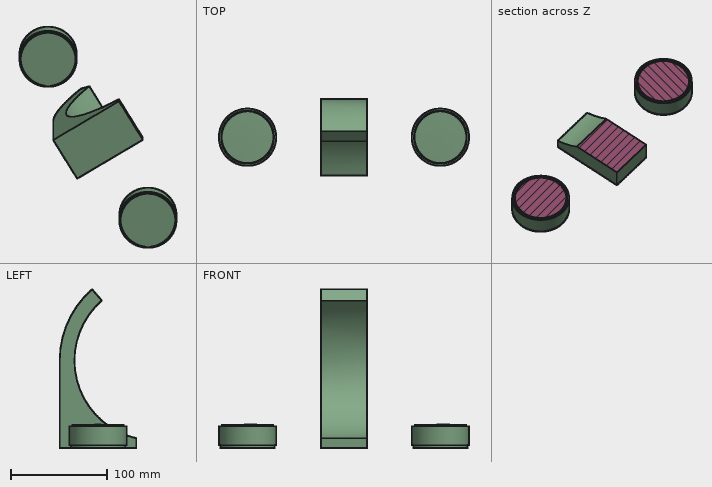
import cadquery as cq
import math

BRACKET_WIDTH = 48.1
BRACKET_DEPTH = 80.0
BRACKET_HEIGHT = 165.2
INNER_RADIUS = 82.7
ARM_THICKNESS = 15.5
ARC_CENTER_Z = 91.0

OVERALL_LENGTH = 260.2
HOUSING_RADIUS = 30.0
HOUSING_TOP_Z = 23.0
PAD_RADIUS = 28.4
PAD_HEIGHT = 3.0
CAP_RADIUS = 26.8
CAP_CLEARANCE = 0.8
CAP_RECESS_DEPTH = 3.0
CAP_PROTRUSION = 1.3
CAP_DOME_RISE = 0.5

FOOT_OFFSET = OVERALL_LENGTH / 2 - HOUSING_RADIUS
RECESS_FLOOR_Z = HOUSING_TOP_Z - CAP_RECESS_DEPTH
CAP_EDGE_Z = HOUSING_TOP_Z + CAP_PROTRUSION


def make_bracket():
    """Extrude a concave arm with a flat back, a flat base and a radially cut tip."""
    back_y = BRACKET_DEPTH / 2
    toe_y = -BRACKET_DEPTH / 2
    outer_radius = INNER_RADIUS + ARM_THICKNESS
    arc_center_y = back_y - outer_radius
    tip_angle = math.asin((BRACKET_HEIGHT - ARC_CENTER_Z) / outer_radius)
    toe_angle = -math.acos((toe_y - arc_center_y) / INNER_RADIUS)

    def arc_point(radius, angle):
        return (
            arc_center_y + radius * math.cos(angle),
            ARC_CENTER_Z + radius * math.sin(angle),
        )

    toe_top = arc_point(INNER_RADIUS, toe_angle)
    inner_middle = arc_point(INNER_RADIUS, (tip_angle + toe_angle) / 2)
    return (
        cq.Workplane("YZ")
        .moveTo(toe_y, 0)
        .lineTo(back_y, 0)
        .lineTo(back_y, ARC_CENTER_Z)
        .threePointArc(arc_point(outer_radius, tip_angle / 2), arc_point(outer_radius, tip_angle))
        .lineTo(*arc_point(INNER_RADIUS, tip_angle))
        .threePointArc(inner_middle, toe_top)
        .close()
        .extrude(BRACKET_WIDTH / 2, both=True)
    )


def make_pad(x):
    """Flat disc under the housing."""
    return cq.Workplane("XY").center(x, 0).circle(PAD_RADIUS).extrude(PAD_HEIGHT)


def make_housing(x):
    """Cylinder with a shallow recess in its top for the cap."""
    body = (
        cq.Workplane("XY", origin=(x, 0, PAD_HEIGHT))
        .circle(HOUSING_RADIUS)
        .extrude(HOUSING_TOP_Z - PAD_HEIGHT)
    )
    recess = (
        cq.Workplane("XY", origin=(x, 0, RECESS_FLOOR_Z))
        .circle(CAP_RADIUS + CAP_CLEARANCE)
        .extrude(CAP_RECESS_DEPTH)
    )
    return body.cut(recess)


def make_cap(x):
    """Disc with a slightly domed top, resting on the recess floor."""
    dome_radius = (CAP_RADIUS**2 + CAP_DOME_RISE**2) / (2 * CAP_DOME_RISE)
    half_way = CAP_RADIUS / 2
    apex_z = CAP_EDGE_Z + CAP_DOME_RISE
    half_way_z = apex_z - dome_radius + math.sqrt(dome_radius**2 - half_way**2)
    return (
        cq.Workplane("XZ", origin=(x, 0, 0))
        .moveTo(0, RECESS_FLOOR_Z)
        .lineTo(CAP_RADIUS, RECESS_FLOOR_Z)
        .lineTo(CAP_RADIUS, CAP_EDGE_Z)
        .threePointArc((half_way, half_way_z), (0, apex_z))
        .close()
        .revolve(360, (0, 0, 0), (0, 1, 0))
    )


bodies = [make_bracket().val()]
for foot_x in (-FOOT_OFFSET, FOOT_OFFSET):
    bodies.append(make_pad(foot_x).val())
    bodies.append(make_housing(foot_x).val())
    bodies.append(make_cap(foot_x).val())

result = cq.Compound.makeCompound(bodies)